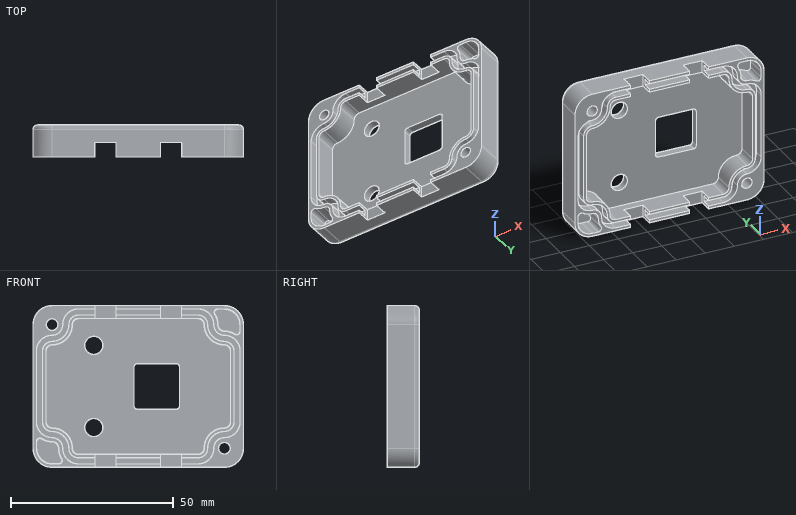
import cadquery as cq
import math

length = 65.0
depth = 10.0
height = 50.0
corner_radius = 5.9
back_edge_radius = 1.5
floor_thickness = 2.8
cavity_depth = depth - floor_thickness

wall = 1.05
groove_width = 1.95
groove_inner = wall + groove_width
lip = 1.0
cavity_inset = groove_inner + lip
groove_depth = 3.2

draft = 1.0

corner_x = length / 2 - corner_radius
corner_z = height / 2 - corner_radius
screw_hole_diameter = 3.5
boss_radius = 3.25
bend_distance = boss_radius + corner_radius - wall

pocket_wall = 1.2
pocket_corner_radius = 1.1
pocket_depth = cavity_depth

window_size = 14.0
window_x = 5.7
window_corner_radius = 1.0
floor_hole_diameter = 5.5
floor_hole_x = -13.7
floor_hole_z = 12.7
notch_width = 6.5
notch_depth = 4.5
notch_spacing = 20.35


def front_plane():
    """Plane of the open rim; +X right, +Z up, normal towards -Y."""
    return cq.Workplane("XZ", origin=(0, -depth / 2, 0))


def contour(inset):
    """Inset outline that swings inwards around each corner boss with tangent arcs."""
    half_x = length / 2 - inset
    half_z = height / 2 - inset
    bend = corner_radius - inset
    around = boss_radius + inset - wall
    side_z = corner_z - bend_distance
    side_x = corner_x - bend_distance
    diagonal = math.sqrt(0.5)

    quarter = [
        (half_x, side_z),
        (corner_x + bend * diagonal, side_z + bend * diagonal),
        (corner_x, side_z + bend),
        (corner_x - around * diagonal, corner_z - around * diagonal),
        (side_x + bend, corner_z),
        (side_x + bend * diagonal, corner_z + bend * diagonal),
        (side_x, half_z),
    ]
    outline = front_plane().moveTo(half_x, -side_z)
    for sign_x, sign_z in [(1, 1), (-1, 1), (-1, -1), (1, -1)]:
        points = [(sign_x * x, sign_z * z) for x, z in quarter]
        if sign_x != sign_z:
            points.reverse()
        outline = outline.lineTo(*points[0])
        for middle, end in zip(points[1::2], points[2::2]):
            outline = outline.threePointArc(middle, end)
    return outline.close()


def make_shell():
    """Rounded block hollowed out from the rim down to the floor."""
    block = front_plane().rect(length, height).extrude(-depth)
    block = block.edges("|Y").fillet(corner_radius)
    block = block.faces(">Y").edges().fillet(back_edge_radius)
    return block.cut(contour(cavity_inset).extrude(-cavity_depth, taper=draft))


def make_groove():
    """Ring-shaped groove that narrows towards its bottom."""
    outer = contour(wall).extrude(-groove_depth, taper=draft)
    return outer.cut(contour(groove_inner).extrude(-groove_depth, taper=-draft))


def make_pocket():
    """Pocket in the +X +Z corner, between the outer wall and the groove."""
    inside = front_plane().rect(length - 2 * wall, height - 2 * wall).extrude(-pocket_depth)
    inside = inside.edges("|Y").fillet(corner_radius - wall)
    corner = front_plane().center(corner_x, corner_z).rect(length / 2, height / 2).extrude(-pocket_depth)
    boundary = contour(wall - pocket_wall).extrude(-pocket_depth)
    pocket = inside.intersect(corner).cut(boundary)
    pocket = pocket.edges("|Y").edges("<X").fillet(pocket_corner_radius)
    pocket = pocket.edges("|Y").edges("<Z").fillet(pocket_corner_radius)

    return pocket.faces("<Y").wires().toPending().extrude(-pocket_depth, combine=False, taper=draft)


def make_openings():
    """Through openings of the floor and bosses, and the notches across the rim."""
    window = front_plane().center(window_x, 0).rect(window_size, window_size).extrude(-depth)
    window = window.edges("|Y").fillet(window_corner_radius)
    floor_holes = (
        front_plane()
        .pushPoints([(floor_hole_x, -floor_hole_z), (floor_hole_x, floor_hole_z)])
        .circle(floor_hole_diameter / 2)
        .extrude(-depth)
    )
    screw_holes = (
        front_plane()
        .pushPoints([(-corner_x, corner_z), (corner_x, -corner_z)])
        .circle(screw_hole_diameter / 2)
        .extrude(-depth)
    )
    notches = (
        front_plane()
        .pushPoints([(-notch_spacing / 2, 0), (notch_spacing / 2, 0)])
        .rect(notch_width, height)
        .extrude(-notch_depth)
    )
    return [window, floor_holes, screw_holes, notches]


result = make_shell().cut(make_groove())
pocket = make_pocket()
result = result.cut(pocket)
result = result.cut(pocket.rotate((0, 0, 0), (0, 1, 0), 180))
for opening in make_openings():
    result = result.cut(opening)